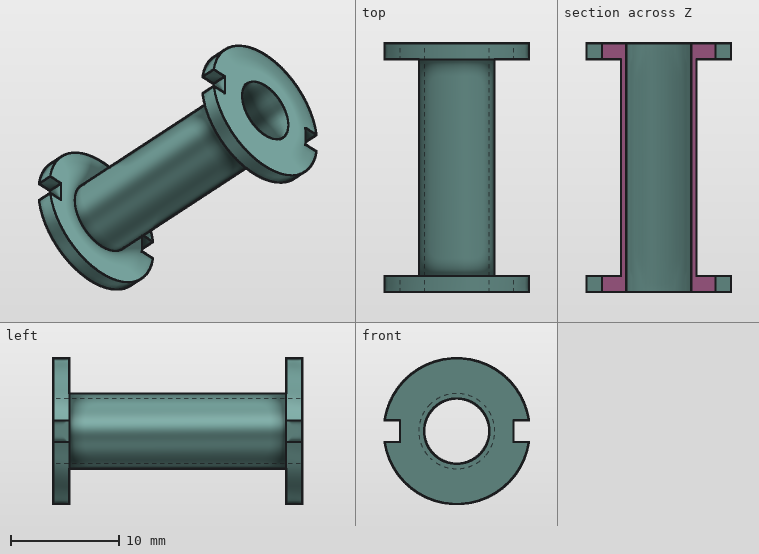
import cadquery as cq

length = 23.0
flange_diameter = 13.5
flange_thickness = 1.5
tube_diameter = 7.0
bore_diameter = 6.0
notch_width = 2.0
notch_floor_spacing = 10.49


def cylinder_along_y(diameter, height, center_y=0):
    """Solid cylinder on the Y axis, centred at center_y."""
    return (
        cq.Workplane("XZ", origin=(0, center_y, 0))
        .circle(diameter / 2)
        .extrude(height / 2, both=True)
    )


spool = cylinder_along_y(tube_diameter, length)
flange_offset = (length - flange_thickness) / 2
for side in (-1, 1):
    spool = spool.union(cylinder_along_y(flange_diameter, flange_thickness, side * flange_offset))

spool = spool.cut(cylinder_along_y(bore_diameter, length))

notch_cutter_depth = flange_diameter / 2
notch_offset = (notch_floor_spacing + notch_cutter_depth) / 2
for side in (-1, 1):
    notch = cq.Workplane("XY").box(notch_cutter_depth, length, notch_width)
    spool = spool.cut(notch.translate((side * notch_offset, 0, 0)))

result = spool